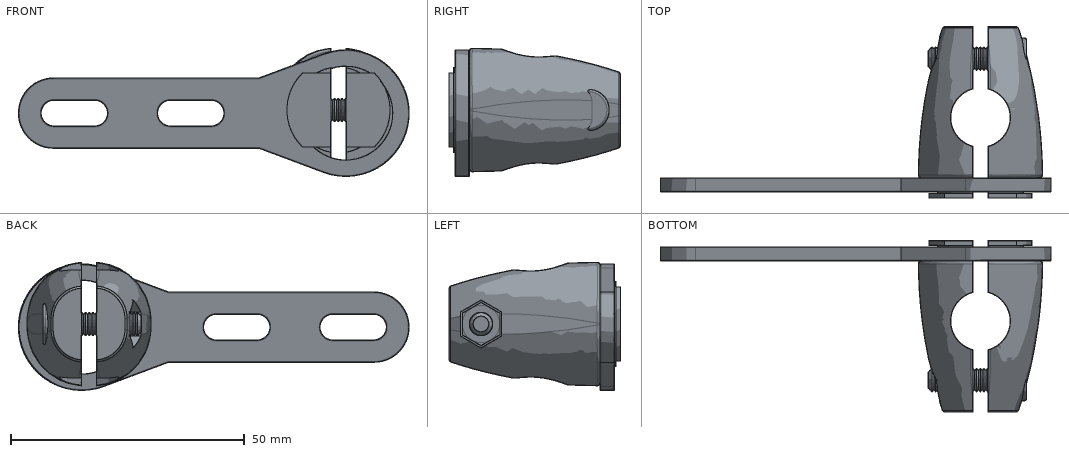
import cadquery as cq
import math


total_length = 83.55
eye_radius = 13.5
eye_hole_radius = 10.0
arm_width = 15.0
strap_thickness = 3.0
taper_start_x = -18.55
strap_edge_round = 0.2
slot_length = 14.2
slot_width = 5.5
slot_spacing = 24.9
slot_end_distance = 11.95
arm_end_x = eye_radius - total_length
end_slot_x = arm_end_x + slot_end_distance

clamp_x = -1.6
clamp_z = 0.7
body_base_y = strap_thickness
body_base_half = 13.3
body_base_round = 0.7
body_tip_half = 8.0
body_tip_y = 35.3
body_tip_chamfer = 0.3
body_sections = [(body_base_y, 0.1), (10.0, 1.25), (16.7, 1.9), (25.1, 2.2), (body_tip_y, 1.2)]
rod_hole_radius = 6.35
rod_hole_y = 15.9
split_width = 3.3

neck_radius = 9.2
neck_clearance = 0.3
cap_radius = 11.0
cap_height = 15.9
cap_thickness = 1.0
neck_front_y = -neck_clearance
cap_front_y = neck_front_y - cap_thickness

screw_y = 28.5
thread_radius = 2.5
thread_depth = 0.4
thread_pitch = 0.79
screw_tip_reach = 11.2
screw_tip_radius = 1.7
head_radius = 4.4
head_length = 5.0
head_reach = 9.9
head_edge_round = 0.5
nut_width = 8.0
nut_thickness = 4.0
nut_reach = 8.7
nut_edge_chamfer = 0.4
nut_pocket_width = 8.85

through_length = 4 * body_base_half


def front_plane(y, x=0.0, z=0.0):
    """Plane seen from the front: local x along X, local y along Z, extruding toward -Y."""
    return cq.Workplane(cq.Plane(origin=(x, y, z), xDir=(1, 0, 0), normal=(0, -1, 0)))


def screw_plane(reach):
    """Plane across the screw axis, extruding toward +X; local x along Y, local y along Z."""
    return cq.Workplane("YZ", origin=(clamp_x + reach, screw_y, clamp_z))


def hexagon_bar(width, reach, length):
    """Hexagonal bar on the screw axis with two of its flats facing along Y."""
    corner_diameter = width / math.cos(math.pi / 6)
    return screw_plane(reach).transformed(rotate=(0, 0, 90)).polygon(6, corner_diameter).extrude(length)


def make_strap():
    half_width = arm_width / 2
    corner_distance = math.hypot(taper_start_x, half_width)
    corner_angle = math.atan2(half_width, taper_start_x)
    tangent_angle = corner_angle - math.acos(eye_radius / corner_distance)
    tangent_x = eye_radius * math.cos(tangent_angle)
    tangent_z = eye_radius * math.sin(tangent_angle)
    strap = (
        front_plane(strap_thickness)
        .moveTo(arm_end_x + half_width, half_width)
        .lineTo(taper_start_x, half_width)
        .lineTo(tangent_x, tangent_z)
        .threePointArc((eye_radius, 0), (tangent_x, -tangent_z))
        .lineTo(taper_start_x, -half_width)
        .lineTo(arm_end_x + half_width, -half_width)
        .threePointArc((arm_end_x, 0), (arm_end_x + half_width, half_width))
        .close()
        .extrude(strap_thickness)
    )
    slots = (
        front_plane(strap_thickness)
        .pushPoints([(end_slot_x, 0), (end_slot_x + slot_spacing, 0)])
        .slot2D(slot_length, slot_width)
        .extrude(strap_thickness)
    )
    strap = strap.cut(slots).faces("<Y or >Y").edges().fillet(strap_edge_round)
    eye_hole = front_plane(strap_thickness).circle(eye_hole_radius).extrude(strap_thickness)
    return strap.cut(eye_hole)


def body_half_width_at(y):
    """Half width of the bulged body, an arc that leaves the base parallel to the clamp axis."""
    length = body_tip_y - body_base_y
    inset = body_base_half - body_tip_half
    bulge_radius = (length**2 + inset**2) / (2 * inset)
    return body_base_half - bulge_radius + math.sqrt(bulge_radius**2 - (y - body_base_y) ** 2)


def body_section(y, flat_half):
    """Outline across the body: four flats joined by tangent corner arcs."""
    half_width = body_half_width_at(y)
    corner_mid = flat_half + (half_width - flat_half) * math.cos(math.pi / 4)
    outline = (
        front_plane(y, clamp_x, clamp_z)
        .moveTo(-flat_half, half_width)
        .lineTo(flat_half, half_width)
        .threePointArc((corner_mid, corner_mid), (half_width, flat_half))
        .lineTo(half_width, -flat_half)
        .threePointArc((corner_mid, -corner_mid), (flat_half, -half_width))
        .lineTo(-flat_half, -half_width)
        .threePointArc((-corner_mid, -corner_mid), (-half_width, -flat_half))
        .lineTo(-half_width, flat_half)
        .threePointArc((-corner_mid, corner_mid), (-flat_half, half_width))
        .close()
    )
    return outline.val()


def make_clamp_body():
    sections = [body_section(y, flat_half) for y, flat_half in body_sections]
    body = cq.Workplane("XY").newObject([cq.Solid.makeLoft(sections)])
    body = body.faces("<Y").edges().fillet(body_base_round)
    return body.faces(">Y").edges().chamfer(body_tip_chamfer)


def make_neck_and_cap():
    neck = (
        front_plane(body_base_y, clamp_x, clamp_z)
        .circle(neck_radius)
        .extrude(body_base_y - neck_front_y)
    )
    cap = front_plane(neck_front_y, clamp_x, clamp_z).circle(cap_radius).extrude(cap_thickness)
    flat_sides = (
        front_plane(neck_front_y, clamp_x, clamp_z)
        .rect(2 * cap_radius, cap_height)
        .extrude(cap_thickness)
    )
    return neck.union(cap.intersect(flat_sides))


def split_clamp(clamp):
    clamp_length = body_tip_y - cap_front_y
    split = cq.Workplane("XY").box(split_width, clamp_length, through_length)
    split = split.translate((clamp_x, (body_tip_y + cap_front_y) / 2, clamp_z))
    rod_hole = (
        cq.Workplane("XY")
        .center(clamp_x, rod_hole_y)
        .circle(rod_hole_radius)
        .extrude(through_length, both=True)
    )
    return clamp.cut(split).cut(rod_hole)


def make_screw():
    """Screw with ring-shaped thread grooves, revolved about its own axis."""
    root_radius = thread_radius - thread_depth
    shank_end = head_reach - head_length
    tip_chamfer = thread_radius - screw_tip_radius
    thread_start = tip_chamfer - screw_tip_reach
    thread_count = int((shank_end - thread_start) / thread_pitch)
    outline = [(-screw_tip_reach, 0), (-screw_tip_reach, screw_tip_radius)]
    for turn in range(thread_count):
        crest = thread_start + turn * thread_pitch
        outline.append((crest, thread_radius))
        outline.append((crest + thread_pitch / 2, root_radius))
    outline += [(shank_end, root_radius), (shank_end, 0)]
    shank = cq.Workplane("XY").polyline(outline).close().revolve(360, (0, 0), (1, 0))
    shank = shank.translate((clamp_x, screw_y, clamp_z))
    head = screw_plane(shank_end).circle(head_radius).extrude(head_length)
    head = head.faces(">X").edges().fillet(head_edge_round)
    return shank.union(head)


def make_nut():
    nut = hexagon_bar(nut_width, -nut_reach, nut_thickness)
    face_radius = nut_width / 2
    bevel = (
        screw_plane(-nut_reach)
        .circle(face_radius + nut_thickness)
        .extrude(nut_thickness)
        .faces("<X")
        .edges()
        .chamfer(nut_edge_chamfer, nut_thickness)
    )
    return nut.intersect(bevel)


nut_seat = nut_thickness - nut_reach
nut_pocket = hexagon_bar(nut_pocket_width, nut_seat, -body_base_half)
clamp = split_clamp(make_clamp_body().union(make_neck_and_cap())).cut(nut_pocket)
result = make_strap().union(clamp).union(make_nut()).union(make_screw())